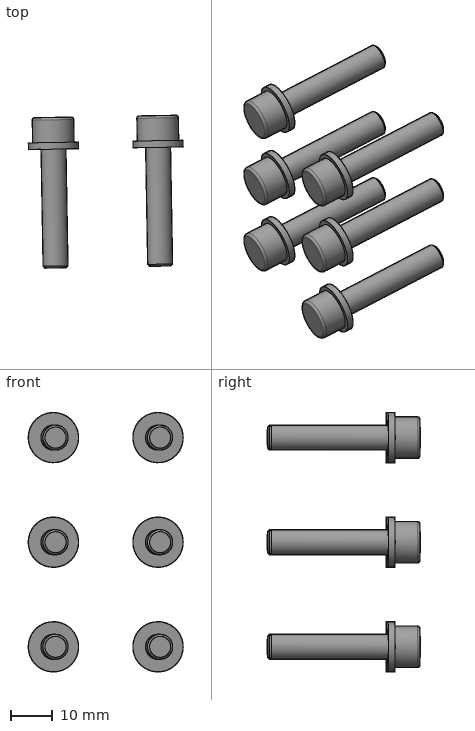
import cadquery as cq

shank_diameter = 6.0
shank_length = 28.4
tip_chamfer = 0.5
flange_diameter = 12.0
flange_thickness = 1.6
head_diameter = 10.0
head_height = 6.0
head_edge_radius = 0.6

columns = 2
rows = 3
pitch = 25.0
tilt_angle = 1.0


def make_bolt():
    """One flanged bolt: shank tip towards -Y, flange underside on the XZ plane, head towards +Y."""
    shank = (
        cq.Workplane("XZ")
        .circle(shank_diameter / 2)
        .extrude(shank_length)
        .faces("<Y")
        .chamfer(tip_chamfer)
    )
    flange = cq.Workplane("XZ").circle(flange_diameter / 2).extrude(-flange_thickness)
    head = (
        cq.Workplane("XZ", origin=(0, flange_thickness, 0))
        .circle(head_diameter / 2)
        .extrude(-head_height)
        .faces(">Y")
        .edges()
        .fillet(head_edge_radius)
    )
    return shank.union(flange).union(head)


def place_bolt(column, row):
    """A separate bolt at one grid position, with the grid centred on the origin."""
    x = (column - (columns - 1) / 2) * pitch
    z = (row - (rows - 1) / 2) * pitch
    return make_bolt().translate((x, 0, z)).rotate((0, 0, 0), (0, 0, 1), tilt_angle)


bolts = [place_bolt(column, row) for column in range(columns) for row in range(rows)]

result = cq.Compound.makeCompound([bolt.solids().val() for bolt in bolts])